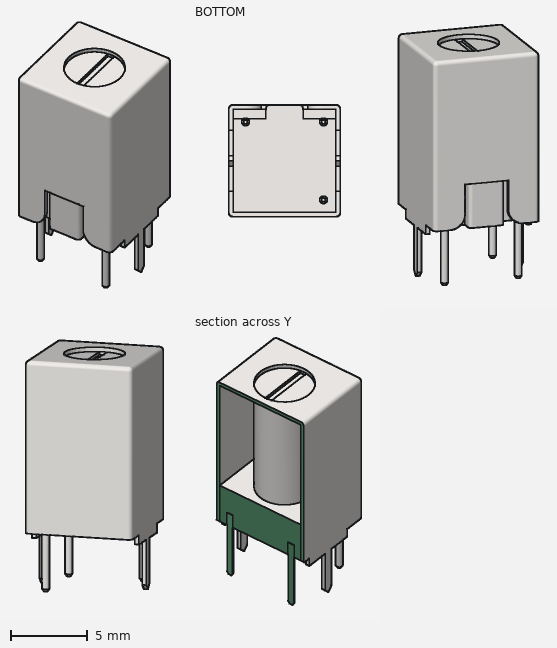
import cadquery as cq

can_width = 7.3
overall_height = 15.5
leg_length = 4.0
can_bottom = leg_length
wall = 0.3
edge_radius = 0.3
core_diameter = 4.0

window_width = 3.0
window_height = 3.0
flare_radius = 1.0

leg_shoulder_width = 4.0
leg_shoulder_drop = 0.62
leg_width = 0.68
leg_tip_height = 0.35

rib_width = 2.42
rib_edge_radius = 0.25
base_setback = 0.6

slot_width = 0.5
slot_depth = 0.2

pin_diameter = 0.5
pin_spacing = 5.08
pin_tip_chamfer_height = 0.19
pin_tip_chamfer_width = 0.12
pin_insertion = 1.0

half_width = can_width / 2
inner_width = can_width - 2 * wall
inner_half = inner_width / 2
lid_underside = overall_height - wall
base_top = can_bottom + window_height
pin_offset = pin_spacing / 2
pin_positions = [(-pin_offset, -pin_offset), (pin_offset, -pin_offset), (pin_offset, pin_offset)]


def box_between(x_range, y_range, z_range):
    """Axis-aligned box between the given limits."""
    corner = (x_range[0], y_range[0], z_range[0])
    return cq.Workplane("XY").box(
        x_range[1] - x_range[0],
        y_range[1] - y_range[0],
        z_range[1] - z_range[0],
        centered=False,
    ).translate(corner)


def make_window_cutter():
    """Upright slot whose lower corners flare out to the can's edge, cut through the front wall."""
    half = window_width / 2
    flare_end = half + flare_radius
    flare_top = can_bottom + flare_radius
    outline = (
        cq.Workplane("XZ", origin=(0, -inner_half, 0))
        .moveTo(-flare_end, can_bottom)
        .radiusArc((-half, flare_top), -flare_radius)
        .lineTo(-half, base_top)
        .lineTo(half, base_top)
        .lineTo(half, flare_top)
        .radiusArc((flare_end, can_bottom), -flare_radius)
        .close()
    )
    return outline.extrude(wall)


def make_leg(x_start):
    """Flat leg in the plane of a side wall: a wide shoulder, then a narrow pointed blade."""
    shoulder_bottom = can_bottom - leg_shoulder_drop
    half_shoulder = leg_shoulder_width / 2
    half_leg = leg_width / 2
    return (
        cq.Workplane("YZ", origin=(x_start, 0, 0))
        .polyline([
            (-half_shoulder, can_bottom),
            (-half_shoulder, shoulder_bottom),
            (-half_leg, shoulder_bottom),
            (-half_leg, leg_tip_height),
            (0, 0),
            (half_leg, leg_tip_height),
            (half_leg, shoulder_bottom),
            (half_shoulder, shoulder_bottom),
            (half_shoulder, can_bottom),
        ])
        .close()
        .extrude(wall)
    )


def make_can():
    """Rounded square shell with a hole in its lid, a front window and two ground legs."""
    can = box_between((-half_width, half_width), (-half_width, half_width), (can_bottom, overall_height))
    can = can.edges("|Z or >Z").fillet(edge_radius)
    can = can.cut(box_between((-inner_half, inner_half), (-inner_half, inner_half), (can_bottom, lid_underside)))
    can = can.cut(cq.Workplane("XY", origin=(0, 0, lid_underside)).circle(core_diameter / 2).extrude(wall))
    can = can.cut(make_window_cutter())
    for x_start in (-half_width, inner_half):
        can = can.union(make_leg(x_start))
    return can


def make_pin(position):
    """Round pin with a tapered lower end."""
    radius = pin_diameter / 2
    pin = cq.Workplane("XY").circle(radius).extrude(can_bottom + pin_insertion)
    pin = pin.faces("<Z").chamfer(pin_tip_chamfer_height, pin_tip_chamfer_width)
    return pin.translate((position[0], position[1], 0))


def make_base():
    """Block filling the can's lower end, with a round-edged front rib flush with the can and pin holes."""
    z_range = (can_bottom, base_top)
    base_front = -inner_half + base_setback
    rib = box_between(
        (-rib_width / 2, rib_width / 2), (-half_width, base_front), z_range
    )
    rib = rib.edges("|Z and <Y").fillet(rib_edge_radius)
    base = box_between((-inner_half, inner_half), (base_front, inner_half), z_range).union(rib)
    pin_holes = (
        cq.Workplane("XY", origin=(0, 0, can_bottom))
        .pushPoints(pin_positions)
        .circle(pin_diameter / 2)
        .extrude(pin_insertion)
    )
    return base.cut(pin_holes)


def make_core():
    """Tuning core between the base and the lid, with a screwdriver slot across its top."""
    core = (
        cq.Workplane("XY", origin=(0, 0, base_top))
        .circle(core_diameter / 2)
        .extrude(lid_underside - base_top)
    )
    slot = box_between(
        (-slot_width / 2, slot_width / 2),
        (-core_diameter / 2, core_diameter / 2),
        (lid_underside - slot_depth, lid_underside),
    )
    return core.cut(slot)


can = make_can()
base = make_base()
core = make_core()
pins = [make_pin(position) for position in pin_positions]

result = cq.Compound.makeCompound([can.val(), base.val(), core.val(), *[pin.val() for pin in pins]])